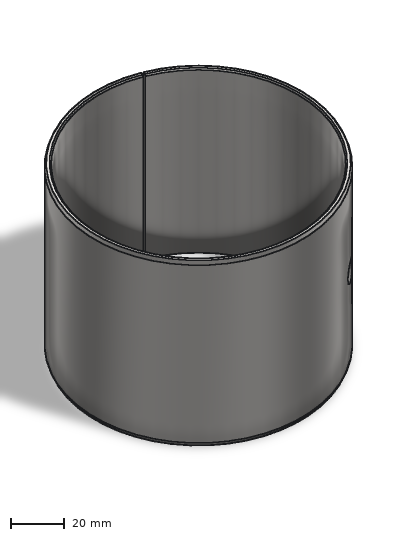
import cadquery as cq

outer_diameter = 115.0
wall_thickness = 2.5
length = 90.0

outer_chamfer_length = 1.8
outer_chamfer_depth = 0.65
inner_chamfer = 0.6

joint_gap_angle = 1.0
sweep_angle = 360.0 - joint_gap_angle

oil_hole_diameter = 10.0
oil_hole_angle_from_joint = 120.0

outer_radius = outer_diameter / 2
inner_radius = outer_radius - wall_thickness
half_length = length / 2


def make_sleeve():
    """Revolve the chamfered wall section about Z, starting on the -X axis."""
    end_outer_radius = outer_radius - outer_chamfer_depth
    end_inner_radius = inner_radius + inner_chamfer
    outer_shoulder = half_length - outer_chamfer_length
    inner_shoulder = half_length - inner_chamfer
    section = (
        cq.Workplane("XZ")
        .moveTo(inner_radius, -inner_shoulder)
        .lineTo(end_inner_radius, -half_length)
        .lineTo(end_outer_radius, -half_length)
        .lineTo(outer_radius, -outer_shoulder)
        .lineTo(outer_radius, outer_shoulder)
        .lineTo(end_outer_radius, half_length)
        .lineTo(end_inner_radius, half_length)
        .lineTo(inner_radius, inner_shoulder)
        .close()
    )
    sleeve = section.revolve(sweep_angle, (0, 0, 0), (0, 1, 0))
    return sleeve.rotate((0, 0, 0), (0, 0, 1), 180)


def make_oil_hole():
    """Cylinder running radially outward from the axis through one wall."""
    wall_end_angle = 180.0 - joint_gap_angle
    oil_hole_angle = wall_end_angle - oil_hole_angle_from_joint
    return (
        cq.Workplane("YZ")
        .circle(oil_hole_diameter / 2)
        .extrude(outer_diameter)
        .rotate((0, 0, 0), (0, 0, 1), oil_hole_angle)
    )


result = make_sleeve().cut(make_oil_hole())